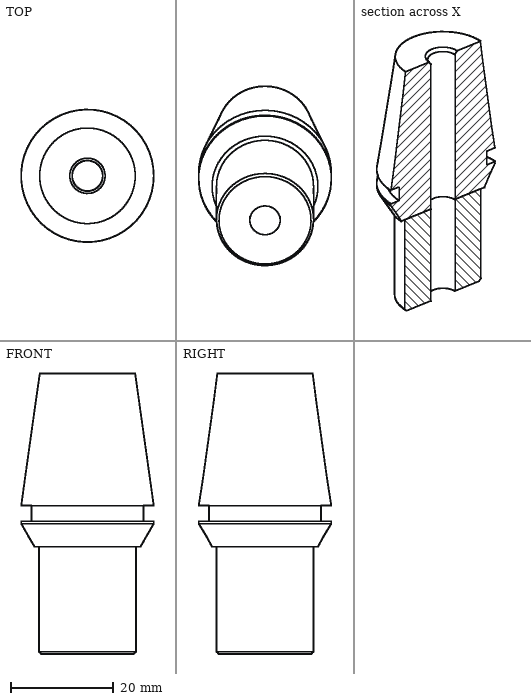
import cadquery as cq
import math

total_height = 55.0
rim_radius = 13.01

upper_taper_angle = 8.0
lower_taper_angle = 30.0
upper_cone_height = 25.9
groove_width = 3.0
groove_radius = 11.0
rim_height = 0.5
lower_cone_height = 4.55

shank_radius = 9.5
shank_chamfer = 0.5

bore_radius = 2.95
countersink_radius = 3.45
countersink_depth = 0.7

groove_top = total_height - upper_cone_height
rim_top = groove_top - groove_width
rim_bottom = rim_top - rim_height
shank_length = rim_bottom - lower_cone_height
top_radius = rim_radius - upper_cone_height * math.tan(math.radians(upper_taper_angle))
seat_radius = rim_radius - lower_cone_height * math.tan(math.radians(lower_taper_angle))


def revolve_profile(points):
    """Revolve a (radius, height) outline about the Z axis."""
    return (
        cq.Workplane("XZ")
        .polyline(points)
        .close()
        .revolve(360, (0, 0, 0), (0, 1, 0))
    )


def make_collet():
    """Double-tapered collet with an outside groove and a countersunk bore."""
    return revolve_profile([
        (bore_radius, shank_length),
        (seat_radius, shank_length),
        (rim_radius, rim_bottom),
        (rim_radius, rim_top),
        (groove_radius, rim_top),
        (groove_radius, groove_top),
        (rim_radius, groove_top),
        (top_radius, total_height),
        (countersink_radius, total_height),
        (bore_radius, total_height - countersink_depth),
    ])


def make_shank():
    """Straight bored shank under the collet, chamfered at its lower outer edge."""
    return revolve_profile([
        (bore_radius, 0),
        (shank_radius - shank_chamfer, 0),
        (shank_radius, shank_chamfer),
        (shank_radius, shank_length),
        (bore_radius, shank_length),
    ])


collet = make_collet()
shank = make_shank()

result = cq.Compound.makeCompound([collet.val(), shank.val()])